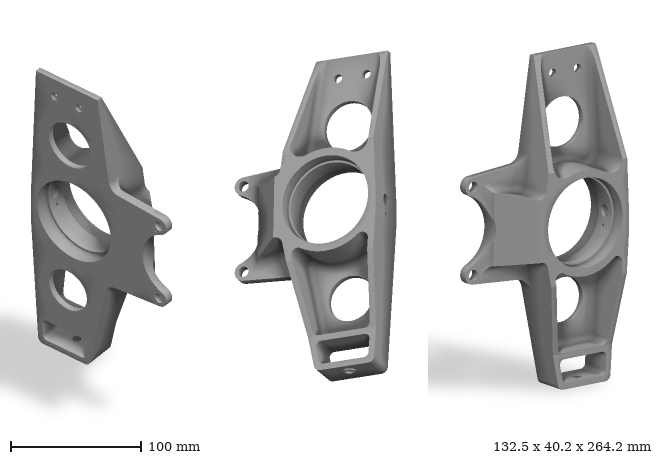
import cadquery as cq
import math


top_z = 129.2
bottom_z = -134.0
left_x = -42.0
left_flat_top_z = 6.5
left_flat_bottom_z = -16.0
top_left_x = -37.0
top_right_x = 23.0
bottom_left_x = -34.5
bottom_right_x = 14.8
right_waist_x = 42.3
bottom_corner_radius = 5.0

depth = 40.2
wall = 5.0
tip_depth = wall
tail_depth = 26.2
upper_slope_z = 45.2
lower_slope_z = -46.0
tail_z = -105.2

lug_x = 83.0
lug_z = 35.1
lug_radius = 7.5
lug_hole_radius = 4.2
arm_thickness = 7.1
arm_root_z = 46.2
arm_corner_radius = 10.0
scallop_x = 97.5
scallop_radius = math.hypot(scallop_x - lug_x, lug_z) - lug_radius

rib_root_z = 23.8
rib_end_z = 29.0
rib_upper_end_x = 67.5
rib_lower_end_x = 68.7
rib_corner_radius = 6.5
rib_end_y = 13.5
rib_slope_run = 24.8
rib_base_radius = rib_end_y - arm_thickness

seat_radius = 36.0
lip_radius = 34.0
front_seat_depth = 12.5
back_seat_depth = 11.0
housing_radius = 42.3

pocket_floor_y = wall
pocket_floor_radius = wall
upper_pocket_radius = 10.0
lower_pocket_radius = 5.3
window_top_z = -110.0
window_bottom_z = bottom_z + wall
window_corner_radius = 4.0
upper_opening = (-4.0, 72.0, 20.3)
lower_opening = (-5.8, -70.0, 18.5)

seat_step = 0.1
mount_hole_xs = (-19.0, 4.8)
mount_hole_z = 112.5
screw_hole_radius = 3.5
screw_seat_radius = 5.0
port_radius = 4.8
vent_radius = 1.5
vent_z = -12.0
tail_boss_x = -9.8
tail_boss_y = 16.0
tail_boss_height = 1.0

clearance = 26.5

top_left = (top_left_x, top_z)
top_right = (top_right_x, top_z)
left_flat_top = (left_x, left_flat_top_z)
left_flat_bottom = (left_x, left_flat_bottom_z)
bottom_left = (bottom_left_x, bottom_z)
bottom_right = (bottom_right_x, bottom_z)
right_waist = (right_waist_x, 0)


def prism(points, start_y, end_y):
    """Outline given in X and Z, extruded along Y."""
    return cq.Workplane("XZ", origin=(0, start_y, 0)).polyline(points).close().extrude(start_y - end_y)


def cylinder(x, z, radius, start_y, end_y):
    """Cylinder along Y."""
    return cq.Workplane("XZ", origin=(x, start_y, z)).circle(radius).extrude(start_y - end_y)


def x_on_line(start, end, z):
    """X at height z on the straight line through start and end."""
    fraction = (z - start[1]) / (end[1] - start[1])
    return start[0] + fraction * (end[0] - start[0])


def left_side_x(z):
    if z > 0:
        return x_on_line(top_left, left_flat_top, z)
    return x_on_line(bottom_left, left_flat_bottom, z)


def right_side_x(z):
    return x_on_line(top_right if z > 0 else bottom_right, right_waist, z)


def between_walls(low_z, high_z):
    """Outline of the space between the two side walls of one half of the body."""
    return [
        (left_side_x(low_z) + wall, low_z),
        (right_side_x(low_z) - wall, low_z),
        (right_side_x(high_z) - wall, high_z),
        (left_side_x(high_z) + wall, high_z),
    ]


def round_edge(solid, point, radius):
    """Fillet the edge whose middle is nearest to the point."""
    return solid.edges(cq.selectors.NearestToPointSelector(point)).fillet(radius)


def make_body():
    outline = [
        top_left,
        left_flat_top,
        left_flat_bottom,
        bottom_left,
        bottom_right,
        right_waist,
        top_right,
    ]
    body = prism(outline, 0, depth)
    for x, z in (bottom_left, bottom_right):
        body = round_edge(body, (x, depth / 2, z), bottom_corner_radius)
    return body


def make_arm():
    """Full-depth arm with the scallop between its two lugs."""
    upper_half = [
        (0, arm_root_z),
        (right_side_x(arm_root_z), arm_root_z),
        (lug_x, lug_z + lug_radius),
        (lug_x, lug_z),
        (scallop_x, 0),
    ]
    lower_half = [
        (lug_x, -lug_z),
        (lug_x, -lug_z - lug_radius),
        (right_side_x(-arm_root_z), -arm_root_z),
        (0, -arm_root_z),
    ]
    arm = prism(upper_half + lower_half, 0, depth)
    arm = arm.cut(cylinder(scallop_x, 0, scallop_radius, 0, depth))
    for z in (lug_z, -lug_z):
        arm = arm.union(cylinder(lug_x, z, lug_radius, 0, depth))
    return arm


def back_envelope():
    """Side profile of the body, with both ends sloping down from the bearing housing."""
    profile = [
        (0, top_z),
        (tip_depth, top_z),
        (depth, upper_slope_z),
        (depth, lower_slope_z),
        (tail_depth, tail_z),
        (tail_depth, bottom_z),
        (0, bottom_z),
    ]
    length = lug_x + lug_radius - left_x
    return cq.Workplane("YZ", origin=(left_x, 0, 0)).polyline(profile).close().extrude(length)


def arm_relief():
    """Material removed behind the arm, leaving a rib with a rounded base."""
    far_x = lug_x + clearance
    far_z = arm_root_z + clearance
    outline = [
        (right_side_x(far_z), far_z),
        (right_side_x(rib_root_z), rib_root_z),
        (rib_upper_end_x, rib_end_z),
        (rib_lower_end_x, -rib_end_z),
        (right_side_x(-rib_root_z), -rib_root_z),
        (right_side_x(-far_z), -far_z),
        (far_x, -far_z),
        (far_x, far_z),
    ]
    relief = prism(outline, arm_thickness, depth + clearance)
    for z in (rib_root_z, -rib_root_z):
        relief = round_edge(relief, (right_side_x(z), depth, z), rib_corner_radius)
    return relief.faces("<Y").edges().fillet(rib_base_radius)


def rib_slope():
    """Wedge that slopes the back of the rib down toward its slightly skewed end."""
    profile = [
        (-rib_slope_run, depth),
        (0, rib_end_y),
        (clearance, rib_end_y),
        (clearance, depth),
    ]
    wedge = cq.Workplane("XY").polyline(profile).close().extrude(arm_root_z, both=True)
    skew = math.degrees(math.atan2(rib_upper_end_x - rib_lower_end_x, 2 * rib_end_z))
    end_middle_x = (rib_upper_end_x + rib_lower_end_x) / 2
    return wedge.rotate((0, 0, 0), (0, 1, 0), skew).translate((end_middle_x, 0, 0))


def back_pocket(low_z, high_z, corner_radius):
    """Pocket between the side walls, ending against the round bearing housing."""
    pocket = prism(between_walls(low_z, high_z), pocket_floor_y, depth + clearance)
    pocket = pocket.cut(cylinder(0, 0, housing_radius, 0, depth + clearance))
    inside_corners = cq.selectors.BoxSelector(
        (left_x, pocket_floor_y, tail_z - wall),
        (right_waist_x, depth + clearance, top_z),
    )
    pocket = pocket.edges("|Y").edges(inside_corners).fillet(corner_radius)
    return pocket.faces("<Y").edges().fillet(pocket_floor_radius)


def tail_window():
    window = prism(between_walls(window_bottom_z, window_top_z), 0, depth)
    return window.edges("|Y").fillet(window_corner_radius)


def tail_cylinder(radius, low_z, high_z):
    """Vertical cylinder on the axis of the tail boss."""
    base = cq.Workplane("XY", origin=(tail_boss_x, tail_boss_y, low_z))
    return base.circle(radius).extrude(high_z - low_z)


def side_hole(radius, z):
    """Hole from the left side into the bearing bore, at mid depth."""
    return cq.Workplane("YZ", origin=(left_x, depth / 2, z)).circle(radius).extrude(-left_x)


result = make_body().union(make_arm())
for root_z in (arm_root_z, -arm_root_z):
    result = round_edge(result, (right_side_x(root_z), depth / 2, root_z), arm_corner_radius)
result = result.cut(arm_relief()).cut(rib_slope()).intersect(back_envelope())

result = result.cut(back_pocket(0, top_z + clearance, upper_pocket_radius))
result = result.cut(back_pocket(window_top_z + wall, 0, lower_pocket_radius))
result = result.cut(tail_window())
for x, z, radius in (upper_opening, lower_opening):
    result = result.cut(cylinder(x, z, radius, 0, pocket_floor_y + pocket_floor_radius))

result = result.cut(cylinder(0, 0, lip_radius, 0, depth))
result = result.cut(cylinder(0, 0, seat_radius, 0, front_seat_depth))
result = result.cut(cylinder(0, 0, seat_radius, depth - back_seat_depth, depth))

mount_holes = [(x, mount_hole_z, screw_hole_radius, screw_seat_radius) for x in mount_hole_xs]
lug_holes = [(lug_x, z, lug_hole_radius, lug_radius) for z in (lug_z, -lug_z)]
for x, z, hole_radius, seat in mount_holes + lug_holes:
    result = result.cut(cylinder(x, z, hole_radius, 0, depth))
    result = result.cut(cylinder(x, z, seat, 0, seat_step))

result = result.cut(side_hole(port_radius, 0)).cut(side_hole(vent_radius, vent_z))

boss_bottom_z = bottom_z - tail_boss_height
result = result.union(tail_cylinder(screw_seat_radius, boss_bottom_z, bottom_z + wall / 2))
result = result.cut(tail_cylinder(screw_hole_radius, boss_bottom_z, window_bottom_z))
result = result.cut(tail_cylinder(screw_seat_radius, window_bottom_z - seat_step, window_bottom_z))